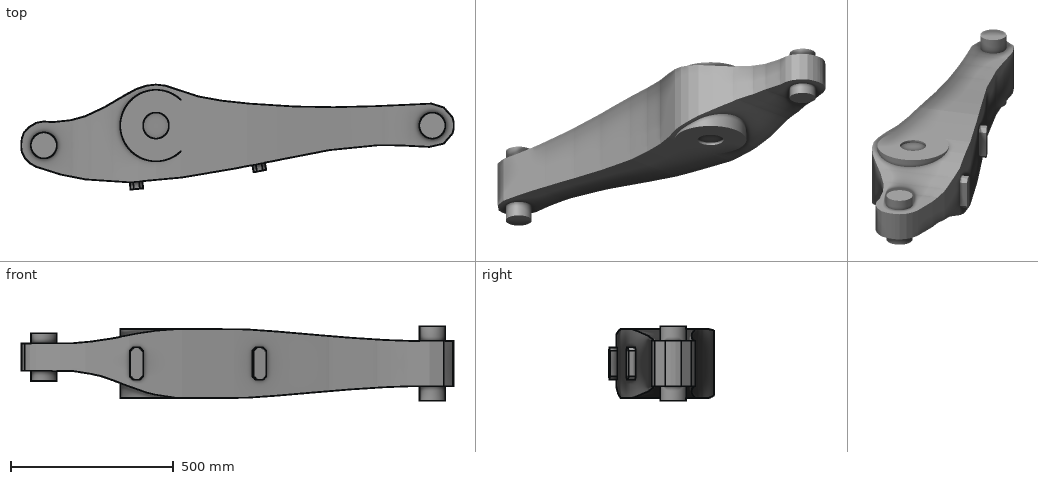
import math

import cadquery as cq


hub_radius = 110
hub_half_height = 106.5
pin_radius = 40
recess_depth = 8

right_pin_x = 850
right_pin_y = 0
right_pin_z = 0
right_pin_length = 230

left_pin_x = -345
left_pin_y = -61
left_pin_z = 20
left_pin_length = 148

left_tip_x = -415.08
right_tip_x = 916.5
right_arm_half_height = 70
left_arm_half_height = 42.5
left_arm_top = left_pin_z + left_arm_half_height
left_arm_bottom = left_pin_z - left_arm_half_height
hub_far_side_y = 126.5

pad_width = 40
pad_length = 100
pad_thickness = 22.4
pad_corner = 11
first_flank_start = (-81, -175)
first_flank_end = (80, -160)
second_flank_start = (240, -133)
second_flank_end = (532, -76)
first_pad_distance = 0
second_pad_distance = 57

near_side = [
    (left_tip_x, -67),
    (-413, -81),
    (-403, -101),
    (-388, -116),
    (-369, -127),
    (-293, -151),
    (-217, -166),
    first_flank_start,
    first_flank_end,
    second_flank_start,
    second_flank_end,
    (680, -61),
    (725, -61),
    (765, -62),
    (841, -66),
]
right_end = [
    (885, -56),
    (912.5, -24),
    (right_tip_x, -8),
    (right_tip_x, 8),
    (912, 26),
    (885, 56),
    (847, 68),
]
far_side = [
    (763, 64),
    (671, 60),
    (547, 57),
    (427, 59),
    (286, 68),
    (202, 77),
    (130, 90),
    (66, 111),
    (30, 123),
    (0, hub_far_side_y),
    (-30, 123),
    (-62, 112),
    (-102, 90),
    (-158, 57),
    (-218, 29),
    (-262, 17),
    (-318, 11),
    (-346, 13),
]
left_end = [
    (-368, 9),
    (-390, -4),
    (-407, -22),
    (-413, -40),
    (left_tip_x, -56),
]

left_swell_top = [
    (-257, 63),
    (-201, 68),
    (-133, 78),
    (-56, 93),
    (0, 101),
    (60, 105.5),
]
left_swell_bottom = [
    (-257, -23),
    (-201, -32),
    (-170, -38.5),
    (-133, -51.5),
    (-90, -67.5),
    (-28, -89.5),
    (0, -96),
    (60, -105),
]
right_taper = [
    (76, hub_half_height),
    (196, hub_half_height),
    (280, 105.5),
    (372, 99),
    (488, 89),
    (596, 80),
    (704, 73),
    (785, right_arm_half_height),
    (right_tip_x, right_arm_half_height),
]
left_arm_bend_x = -399


def make_lever():
    """Plan outline and side profile, each extruded through the other."""
    outline = near_side + right_end + far_side + left_end
    tall = cq.Workplane("XY").polyline(outline).close().extrude(hub_half_height, both=True)

    arm_top = [(left_tip_x, left_arm_top), (left_arm_bend_x, left_arm_top)]
    arm_bottom = [(left_tip_x, left_arm_bottom), (left_arm_bend_x, left_arm_bottom)]
    top = arm_top + left_swell_top + right_taper
    bottom = arm_bottom + left_swell_bottom + [(x, -z) for x, z in right_taper]
    profile = top + bottom[::-1]
    plan_reach = 2 * hub_radius
    wide = cq.Workplane("XZ").polyline(profile).close().extrude(plan_reach, both=True)
    return tall.intersect(wide)


def make_cylinder(x, y, z, radius, length):
    """Upright cylinder centred on the given point."""
    return cq.Workplane("XY").cylinder(length, radius).translate((x, y, z))


def make_pad(flank_start, flank_end, distance):
    """Octagonal pad standing on a straight flank, beginning at a distance from the flank's start."""
    run = flank_end[0] - flank_start[0]
    rise = flank_end[1] - flank_start[1]
    pad = cq.Workplane("XZ").rect(pad_width, pad_length).extrude(pad_thickness)
    pad = pad.edges("|Y").chamfer(pad_corner).translate((distance + pad_width / 2, 0, 0))
    pad = pad.rotate((0, 0, 0), (0, 0, 1), math.degrees(math.atan2(rise, run)))
    return pad.translate((flank_start[0], flank_start[1], 0))


hub = make_cylinder(0, 0, 0, hub_radius, 2 * hub_half_height)
right_pin = make_cylinder(right_pin_x, right_pin_y, right_pin_z, pin_radius, right_pin_length)
left_pin = make_cylinder(left_pin_x, left_pin_y, left_pin_z, pin_radius, left_pin_length)

result = make_lever().union(hub).union(right_pin).union(left_pin)
result = result.union(make_pad(first_flank_start, first_flank_end, first_pad_distance))
result = result.union(make_pad(second_flank_start, second_flank_end, second_pad_distance))

recess_middle = hub_half_height - recess_depth / 2
for side in (1, -1):
    result = result.cut(make_cylinder(0, 0, side * recess_middle, pin_radius, recess_depth))